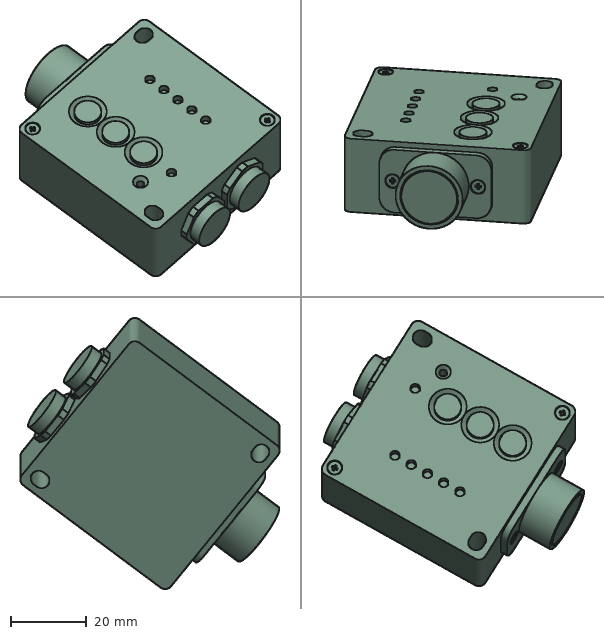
import cadquery as cq


BOX_SIDE = 50.0
BOX_HEIGHT = 21.0
BOX_CORNER_RADIUS = 2.0
HALF_SIDE = BOX_SIDE / 2
MID_HEIGHT = BOX_HEIGHT / 2

SLOT_WIDTH = 4.2
SLOT_LENGTH = 5.2
SLOT_SIDE_OFFSET = 20.95
SLOT_END_OFFSET = 20.5

CONTROL_PITCH = 5.0
INDICATOR_DIAMETER = 2.5
INDICATOR_DEPTH = 2.0
INDICATOR_COUNT = 5
INDICATOR_ROW_Y = 10.9
CONTROL_ROW_Y = -8.0

BUTTON_DIAMETER = 7.2
DISH_DIAMETER = 2 * CONTROL_PITCH
DISH_DEPTH = 1.0
BUTTON_POSITIONS = [(step * CONTROL_PITCH, CONTROL_ROW_Y) for step in (-3, -1, 1)]

SCREW_HOLE_DIAMETER = 2.0
COUNTERSINK_DIAMETER = 4.0
COUNTERSINK_DEPTH = (COUNTERSINK_DIAMETER - SCREW_HOLE_DIAMETER) / 2
SCREW_HOLE_DEPTH = 6.0
OPEN_HOLE_POSITION = (11.0, -15.8)

SCREW_SINK = 0.1
SCREW_HEAD_DIAMETER = COUNTERSINK_DIAMETER - 2 * SCREW_SINK
CROSS_LENGTH = 1.5
CROSS_WIDTH = 0.45
CROSS_DEPTH = 0.4
CORNER_SCREW_OFFSET = 21.95
FLANGE_SCREW_OFFSET = 11.45

FLANGE_THICKNESS = 2.0
FLANGE_WIDTH = 30.0
FLANGE_HEIGHT = 18.0
FLANGE_CORNER_RADIUS = 4.0
MAIN_BARREL_DIAMETER = FLANGE_HEIGHT
MAIN_BARREL_LENGTH = 9.4
GROOVE_OUTER_DIAMETER = 15.5
GROOVE_INNER_DIAMETER = 15.0
GROOVE_DEPTH = 1.0
FLANGE_FACE_X = -HALF_SIDE - FLANGE_THICKNESS
MAIN_BARREL_END_X = FLANGE_FACE_X - MAIN_BARREL_LENGTH

SOCKET_OFFSET = 7.7
NUT_TURN = 30
NUT_ACROSS_FLATS = 14.0
NUT_ROUND_DIAMETER = 15.05
NUT_THICKNESS = 2.0
SOCKET_BARREL_DIAMETER = 12.1
SOCKET_REACH = 5.2


def top_plane(x, y):
    """Plane on the top face with its normal pointing up."""
    return cq.Plane(origin=(x, y, BOX_HEIGHT), xDir=(1, 0, 0), normal=(0, 0, 1))


def left_plane(x, y):
    """Plane at mid height with its normal pointing to -X."""
    return cq.Plane(origin=(x, y, MID_HEIGHT), xDir=(0, -1, 0), normal=(-1, 0, 0))


def right_plane(y):
    """Plane on the +X face of the box at mid height, normal pointing to +X."""
    return cq.Plane(origin=(HALF_SIDE, y, MID_HEIGHT), xDir=(0, 1, 0), normal=(1, 0, 0))


SCREW_PLANES = [
    top_plane(CORNER_SCREW_OFFSET, CORNER_SCREW_OFFSET),
    top_plane(-CORNER_SCREW_OFFSET, -CORNER_SCREW_OFFSET),
    left_plane(FLANGE_FACE_X, FLANGE_SCREW_OFFSET),
    left_plane(FLANGE_FACE_X, -FLANGE_SCREW_OFFSET),
]


def box_block():
    block = cq.Workplane("XY").box(BOX_SIDE, BOX_SIDE, BOX_HEIGHT, centered=(True, True, False))
    return block.edges("|Z").fillet(BOX_CORNER_RADIUS)


def mounting_slots():
    along_y = (
        cq.Workplane("XY")
        .center(-SLOT_SIDE_OFFSET, SLOT_END_OFFSET)
        .slot2D(SLOT_LENGTH, SLOT_WIDTH, 90)
        .extrude(BOX_HEIGHT)
    )
    along_x = (
        cq.Workplane("XY")
        .center(SLOT_END_OFFSET, -SLOT_SIDE_OFFSET)
        .slot2D(SLOT_LENGTH, SLOT_WIDTH)
        .extrude(BOX_HEIGHT)
    )
    return along_y.union(along_x)


def indicator_holes():
    middle = (INDICATOR_COUNT - 1) / 2
    row = [((i - middle) * CONTROL_PITCH, INDICATOR_ROW_Y) for i in range(INDICATOR_COUNT)]
    beside_buttons = (3 * CONTROL_PITCH, CONTROL_ROW_Y)
    return (
        cq.Workplane(top_plane(0, 0))
        .pushPoints(row + [beside_buttons])
        .circle(INDICATOR_DIAMETER / 2)
        .extrude(-INDICATOR_DEPTH)
    )


def button_dish(x, y):
    """Ring with a conical outer wall, left open around one button."""
    button_radius = BUTTON_DIAMETER / 2
    profile = [
        (button_radius, 0),
        (DISH_DIAMETER / 2, 0),
        (button_radius, -DISH_DEPTH),
    ]
    ring = cq.Workplane("XZ").polyline(profile).close().revolve(360, (0, 0), (0, 1))
    return ring.translate((x, y, BOX_HEIGHT))


def countersunk_hole(plane):
    profile = [
        (0, 0),
        (COUNTERSINK_DIAMETER / 2, 0),
        (SCREW_HOLE_DIAMETER / 2, -COUNTERSINK_DEPTH),
        (SCREW_HOLE_DIAMETER / 2, -SCREW_HOLE_DEPTH),
        (0, -SCREW_HOLE_DEPTH),
    ]
    hole = cq.Workplane("XZ").polyline(profile).close().revolve(360, (0, 0), (0, 1))
    return cq.Workplane(hole.val().moved(cq.Location(plane)))


def main_connector():
    flange = (
        cq.Workplane(left_plane(-HALF_SIDE, 0))
        .rect(FLANGE_WIDTH, FLANGE_HEIGHT)
        .extrude(FLANGE_THICKNESS)
        .edges("|X")
        .fillet(FLANGE_CORNER_RADIUS)
    )
    barrel = (
        cq.Workplane(left_plane(FLANGE_FACE_X, 0))
        .circle(MAIN_BARREL_DIAMETER / 2)
        .extrude(MAIN_BARREL_LENGTH)
    )
    groove = (
        cq.Workplane(left_plane(MAIN_BARREL_END_X, 0))
        .circle(GROOVE_OUTER_DIAMETER / 2)
        .circle(GROOVE_INNER_DIAMETER / 2)
        .extrude(-GROOVE_DEPTH)
    )
    return flange.union(barrel).cut(groove)


def socket(y, turn):
    """Socket at the given Y, its nut turned by an angle in degrees about the X axis."""
    plane = right_plane(y)
    hexagon = (
        cq.Workplane(plane)
        .transformed(rotate=(0, 0, turn))
        .polygon(6, NUT_ACROSS_FLATS, circumscribed=True)
        .extrude(NUT_THICKNESS)
    )
    trim = cq.Workplane(plane).circle(NUT_ROUND_DIAMETER / 2).extrude(NUT_THICKNESS)
    barrel = cq.Workplane(plane).circle(SOCKET_BARREL_DIAMETER / 2).extrude(SOCKET_REACH)
    return hexagon.intersect(trim).union(barrel)


def make_housing():
    housing = box_block().union(main_connector())
    housing = housing.union(socket(-SOCKET_OFFSET, NUT_TURN)).union(socket(SOCKET_OFFSET, 0))
    housing = housing.cut(mounting_slots()).cut(indicator_holes())
    for x, y in BUTTON_POSITIONS:
        housing = housing.cut(button_dish(x, y))
    for plane in SCREW_PLANES + [top_plane(*OPEN_HOLE_POSITION)]:
        housing = housing.cut(countersunk_hole(plane))
    return housing


def make_screw(plane):
    """Countersunk screw that fills its hole, with its head just below the surface."""
    head_top = -SCREW_SINK
    profile = [
        (0, head_top),
        (SCREW_HEAD_DIAMETER / 2, head_top),
        (SCREW_HOLE_DIAMETER / 2, -COUNTERSINK_DEPTH),
        (SCREW_HOLE_DIAMETER / 2, -SCREW_HOLE_DEPTH),
        (0, -SCREW_HOLE_DEPTH),
    ]
    screw = cq.Workplane("XZ").polyline(profile).close().revolve(360, (0, 0), (0, 1))
    cross = (
        cq.Workplane("XY", origin=(0, 0, head_top))
        .rect(CROSS_LENGTH, CROSS_WIDTH)
        .extrude(-CROSS_DEPTH)
    )
    screw = screw.cut(cross).cut(cross.rotate((0, 0, 0), (0, 0, 1), 90))
    return screw.val().moved(cq.Location(plane))


housing = make_housing()
screws = [make_screw(plane) for plane in SCREW_PLANES]

result = cq.Compound.makeCompound([housing.val(), *screws])